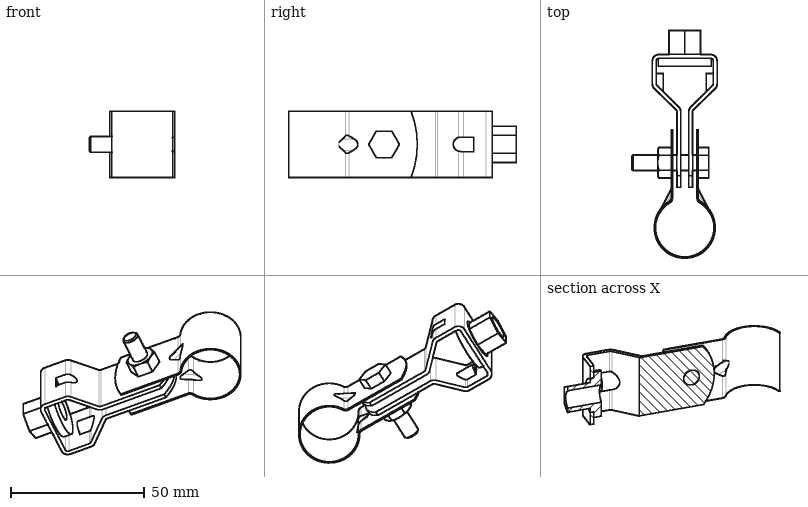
import cadquery as cq
import math

STRAP_WIDTH = 25.0

CLAMP_SHEET = 0.5
RING_OUTER_RADIUS = 11.5
EAR_SPREAD = 10.2
EAR_OUTER_X = EAR_SPREAD / 2
EAR_TIP_Y = 36.9
EAR_TIP_RADIUS = 34.2
EAR_BEND_RADIUS = 1.45

RIB_TOP_RADIUS = 3.5
RIB_FLANK_ANGLE = 38.5
RIB_DEPTH = 3.4
RIB_START_Y = 14.55
RIB_LEAN_ANGLE = 27.5
RIB_SPAN = 8.0
RIB_OVERRUN = 1.3

BRACKET_SHEET = 1.5
BRACKET_BACK_Y = 65.1
BRACKET_HALF_WIDTH = 12.2
BRACKET_BEND_RADIUS = 1.0
ARM_OUTER_X = 3.0
SHOULDER_Y = 53.05
TAPER_DROP = 9.1
ARM_TIP_Y = 15.15
ARM_TIP_RADIUS = 20.0

DENT_OUTER_DIAMETER = 8.5
DENT_OUTER_RADIUS = DENT_OUTER_DIAMETER / 2
DENT_TOP_Y = 58.0

SOCKET_FLATS = 11.9
HEX_TURN = 30
SOCKET_HEX_LENGTH = 9.0
SOCKET_NECK_DIAMETER = 15.0
SOCKET_FLANGE_DIAMETER = 20.0
SOCKET_FLANGE_THICKNESS = 3.0
SOCKET_BORE_DIAMETER = 8.5

BOLT_Y = 24.4
BOLT_DIAMETER = 6.0
BOLT_TIP_X = -19.9
BOLT_TIP_CHAMFER = 0.56
HEX_FLATS = 10.0
BOLT_HEAD_HEIGHT = 4.0
NUT_HEIGHT = 5.05
NUT_FACE_DIAMETER = HEX_FLATS
NUT_CHAMFER_LENGTH = 0.4

PICK_MARGIN = 0.85


def extrude_strap(outline):
    """Extrude an XY outline over the strap width, centred on Z = 0."""
    return outline.extrude(STRAP_WIDTH / 2, both=True)


def both_sides(solid):
    """The solid together with its mirror image across the YZ plane."""
    return solid.union(solid.mirror("YZ"))


def x_cylinder(diameter, start_x, end_x):
    """Cylinder on the bolt axis."""
    return cq.Workplane("YZ", origin=(start_x, BOLT_Y, 0)).circle(diameter / 2).extrude(end_x - start_x)


def y_cylinder(diameter, end_y, length):
    """Cylinder on the Y axis that runs from `end_y` towards -Y."""
    return cq.Workplane("XZ", origin=(0, end_y, 0)).circle(diameter / 2).extrude(length)


def hex_corners(flats):
    """Distance across the corners of a hexagon with the given distance across its flats."""
    return flats / math.cos(math.pi / 6)


def x_hexagon(start_x, end_x):
    """Hexagonal prism on the bolt axis, with two of its corners along Y."""
    plane = cq.Workplane("YZ", origin=(start_x, BOLT_Y, 0))
    return plane.polygon(6, hex_corners(HEX_FLATS)).extrude(end_x - start_x)


def rounded_strap(flat_y, tip_y, tip_radius):
    """Side profile of a strap that runs along Y from a square end to a rounded tip, as a solid wide in X."""
    half_height = STRAP_WIDTH / 2
    sagitta = tip_radius - math.sqrt(tip_radius ** 2 - half_height ** 2)
    corner_y = tip_y - math.copysign(sagitta, tip_y - flat_y)
    profile = (
        cq.Workplane("YZ")
        .moveTo(flat_y, -half_height)
        .lineTo(corner_y, -half_height)
        .threePointArc((tip_y, 0), (corner_y, half_height))
        .lineTo(flat_y, half_height)
        .close()
    )
    return profile.extrude(BRACKET_HALF_WIDTH, both=True)


def clamp_envelope(ring_radius, ear_x, bend_radius):
    """Filled keyhole: ring disc and ear slab, with the two bends between them rounded."""
    bend_x = ear_x + bend_radius
    bend_y = math.sqrt((ring_radius + bend_radius) ** 2 - bend_x ** 2)
    touch = ring_radius / (ring_radius + bend_radius)
    middle_angle = math.atan2(bend_y, bend_x) / 2
    middle_x = bend_x - bend_radius * math.cos(middle_angle)
    middle_y = bend_y - bend_radius * math.sin(middle_angle)
    outline = (
        cq.Workplane("XY")
        .moveTo(ear_x, EAR_TIP_Y)
        .lineTo(ear_x, bend_y)
        .threePointArc((middle_x, middle_y), (bend_x * touch, bend_y * touch))
        .threePointArc((0, -ring_radius), (-bend_x * touch, bend_y * touch))
        .threePointArc((-middle_x, middle_y), (-ear_x, bend_y))
        .lineTo(-ear_x, EAR_TIP_Y)
        .close()
    )
    return extrude_strap(outline)


def rib_prism(inset):
    """Pair of rib prisms; `inset` shrinks the section inwards from the outer surface."""
    lean = math.radians(RIB_LEAN_ANGLE)
    flank = math.radians(RIB_FLANK_ANGLE)
    radius = RIB_TOP_RADIUS - inset
    shoulder_z = radius * math.sin(flank)
    shoulder_depth = RIB_TOP_RADIUS - radius * math.cos(flank)
    foot_z = shoulder_z + (RIB_DEPTH - shoulder_depth) / math.tan(flank)

    along = cq.Vector(math.sin(lean), -math.cos(lean), 0)
    outward = cq.Vector(math.cos(lean), math.sin(lean), 0)
    start = cq.Vector(EAR_OUTER_X, RIB_START_Y, 0) - along * RIB_OVERRUN
    section = (
        cq.Workplane(cq.Plane(origin=start.toTuple(), xDir=outward.toTuple(), normal=along.toTuple()))
        .moveTo(-RIB_DEPTH, -foot_z)
        .lineTo(-shoulder_depth, -shoulder_z)
        .threePointArc((-inset, 0), (-shoulder_depth, shoulder_z))
        .lineTo(-RIB_DEPTH, foot_z)
        .close()
    )
    return both_sides(section.extrude(RIB_SPAN + 2 * RIB_OVERRUN))


def make_clamp():
    outside = clamp_envelope(RING_OUTER_RADIUS, EAR_OUTER_X, EAR_BEND_RADIUS)
    inside = clamp_envelope(
        RING_OUTER_RADIUS - CLAMP_SHEET, EAR_OUTER_X - CLAMP_SHEET, EAR_BEND_RADIUS + CLAMP_SHEET
    )
    clamp = outside.union(rib_prism(0)).cut(inside).cut(rib_prism(CLAMP_SHEET))
    clamp = clamp.intersect(rounded_strap(-RING_OUTER_RADIUS, EAR_TIP_Y, EAR_TIP_RADIUS))
    return clamp.cut(x_cylinder(BOLT_DIAMETER, -EAR_OUTER_X, EAR_OUTER_X))


def bracket_envelope(inset):
    """Filled bracket outline, moved inwards by `inset`, with all its bends rounded."""
    half_width = BRACKET_HALF_WIDTH - inset
    arm_x = ARM_OUTER_X - inset
    back_y = BRACKET_BACK_Y - inset
    taper_angle = math.atan2(TAPER_DROP, BRACKET_HALF_WIDTH - ARM_OUTER_X)
    taper_shift = inset * math.tan((math.pi / 2 - taper_angle) / 2)
    shoulder_y = SHOULDER_Y + taper_shift
    neck_y = SHOULDER_Y - TAPER_DROP + taper_shift
    outline = (
        cq.Workplane("XY")
        .moveTo(arm_x, ARM_TIP_Y)
        .lineTo(arm_x, neck_y)
        .lineTo(half_width, shoulder_y)
        .lineTo(half_width, back_y)
        .lineTo(-half_width, back_y)
        .lineTo(-half_width, shoulder_y)
        .lineTo(-arm_x, neck_y)
        .lineTo(-arm_x, ARM_TIP_Y)
        .close()
    )
    middle_y = (shoulder_y + neck_y) / 2
    outer_bend = BRACKET_BEND_RADIUS + BRACKET_SHEET - inset
    neck_bend = BRACKET_BEND_RADIUS + inset
    neck_edges = cq.selectors.BoxSelector(
        (-arm_x - PICK_MARGIN, neck_y - PICK_MARGIN, -STRAP_WIDTH),
        (arm_x + PICK_MARGIN, neck_y + PICK_MARGIN, STRAP_WIDTH),
    )
    box_edges = cq.selectors.BoxSelector(
        (-half_width - PICK_MARGIN, middle_y, -STRAP_WIDTH),
        (half_width + PICK_MARGIN, back_y + PICK_MARGIN, STRAP_WIDTH),
    )
    solid = extrude_strap(outline)
    solid = solid.edges("|Z").edges(neck_edges).fillet(neck_bend)
    return solid.edges("|Z").edges(box_edges).fillet(outer_bend)


def dent_rods(radius):
    """Two rods along Y on the outer faces of the bracket sides, ending at the top of the dents."""
    plane = cq.Workplane("XZ", origin=(0, DENT_TOP_Y, 0))
    sides = [(-BRACKET_HALF_WIDTH, 0), (BRACKET_HALF_WIDTH, 0)]
    return plane.pushPoints(sides).circle(radius).extrude(DENT_TOP_Y - ARM_TIP_Y)


def socket_flange():
    """Round flange of the socket, seated on the inner face of the bracket back."""
    return y_cylinder(SOCKET_FLANGE_DIAMETER, BRACKET_BACK_Y - BRACKET_SHEET, SOCKET_FLANGE_THICKNESS)


def make_bracket():
    outside = bracket_envelope(0)
    inside = bracket_envelope(BRACKET_SHEET)
    bracket = outside.cut(inside)
    bracket = bracket.union(dent_rods(DENT_OUTER_RADIUS).intersect(outside))
    bracket = bracket.cut(dent_rods(DENT_OUTER_RADIUS - BRACKET_SHEET))
    bracket = bracket.intersect(rounded_strap(BRACKET_BACK_Y, ARM_TIP_Y, ARM_TIP_RADIUS))
    bracket = bracket.cut(y_cylinder(SOCKET_NECK_DIAMETER, BRACKET_BACK_Y, BRACKET_SHEET))
    bracket = bracket.cut(socket_flange())
    return bracket.cut(x_cylinder(BOLT_DIAMETER, -ARM_OUTER_X, ARM_OUTER_X))


def make_socket():
    hex_end_y = BRACKET_BACK_Y + SOCKET_HEX_LENGTH
    hexagon = (
        cq.Workplane("XZ", origin=(0, hex_end_y, 0))
        .transformed(rotate=(0, 0, HEX_TURN))
        .polygon(6, hex_corners(SOCKET_FLATS))
        .extrude(SOCKET_HEX_LENGTH)
    )
    neck = y_cylinder(SOCKET_NECK_DIAMETER, BRACKET_BACK_Y, BRACKET_SHEET)
    bore_length = SOCKET_HEX_LENGTH + BRACKET_SHEET + SOCKET_FLANGE_THICKNESS
    bore = y_cylinder(SOCKET_BORE_DIAMETER, hex_end_y, bore_length)
    return hexagon.union(neck).union(socket_flange()).cut(bore)


def make_bolt():
    shank = x_cylinder(BOLT_DIAMETER, BOLT_TIP_X, EAR_OUTER_X).faces("<X").chamfer(BOLT_TIP_CHAMFER)
    return shank.union(x_hexagon(EAR_OUTER_X, EAR_OUTER_X + BOLT_HEAD_HEIGHT))


def make_nut():
    outer_x = -EAR_OUTER_X - NUT_HEIGHT
    slope = (hex_corners(HEX_FLATS) - NUT_FACE_DIAMETER) / 2 / NUT_CHAMFER_LENGTH
    cone_diameter = NUT_FACE_DIAMETER + 2 * slope * NUT_HEIGHT
    cone = (
        cq.Workplane("YZ", origin=(outer_x, BOLT_Y, 0))
        .circle(NUT_FACE_DIAMETER / 2)
        .workplane(offset=NUT_HEIGHT)
        .circle(cone_diameter / 2)
        .loft()
    )
    nut = x_hexagon(outer_x, -EAR_OUTER_X).intersect(cone)
    return nut.cut(x_cylinder(BOLT_DIAMETER, outer_x, -EAR_OUTER_X))


clamp = make_clamp()
bracket = make_bracket()
socket = make_socket()
bolt = make_bolt()
nut = make_nut()
result = cq.Compound.makeCompound([clamp.val(), bracket.val(), socket.val(), bolt.val(), nut.val()])